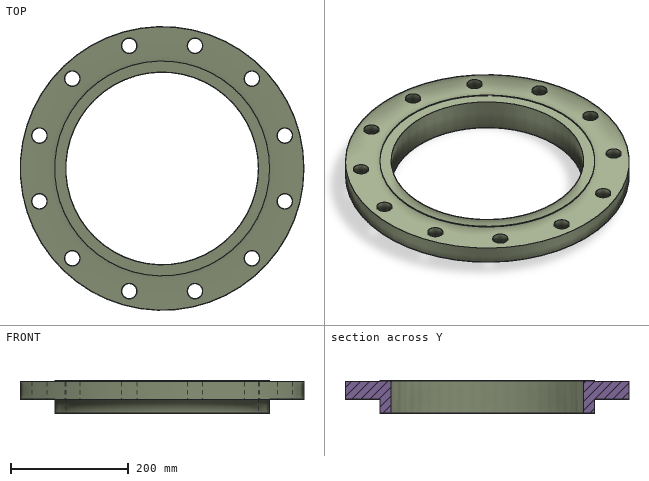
import cadquery as cq

flange_diameter = 482.5
hub_diameter = 365.5
raised_face_diameter = hub_diameter
bore_diameter = 327.0

total_height = 55.5
flange_thickness = 30.5
raised_face_height = 1.5
hub_height = total_height - flange_thickness - raised_face_height

bolt_count = 12
bolt_circle_diameter = 432.0
bolt_hole_diameter = 25.5
bolt_spacing = 360 / bolt_count
first_bolt_angle = bolt_spacing / 2


def disc(diameter, base_z, height):
    """Solid disc centred on the Z axis, rising from base_z."""
    return cq.Workplane("XY").workplane(offset=base_z).circle(diameter / 2).extrude(height)


hub = disc(hub_diameter, 0, hub_height)
flange = disc(flange_diameter, hub_height, flange_thickness)
raised_face = disc(raised_face_diameter, hub_height + flange_thickness, raised_face_height)
body = hub.union(flange).union(raised_face)

bore = disc(bore_diameter, 0, total_height)

bolt_holes = (
    cq.Workplane("XY")
    .workplane(offset=hub_height)
    .polarArray(bolt_circle_diameter / 2, first_bolt_angle, 360, bolt_count)
    .circle(bolt_hole_diameter / 2)
    .extrude(flange_thickness)
)

result = body.cut(bore).cut(bolt_holes)